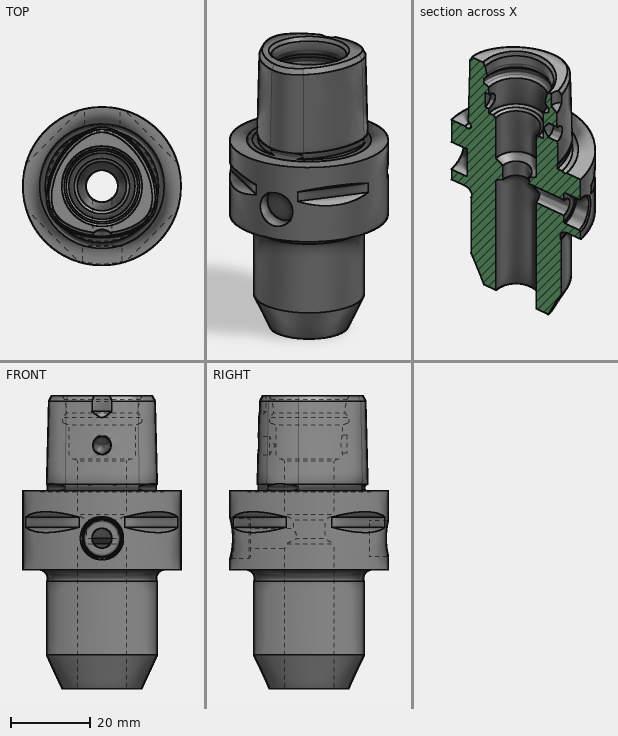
import cadquery as cq
import math


SHANK_TOP = 24.0
SHANK_RADIUS = 14.0
LOBE_HEIGHT = 0.9
TAPER_SLOPE = 1 / 40
RIM_CHAMFER_HEIGHT = 1.4
RIM_CHAMFER_WIDTH = 0.75
NECK_TOP = 1.6
NECK_RELIEF = 0.25
LOBES = 3
LOBE_AXIS_ANGLE = 90.0
FACES_PER_LOBE = 2
SPLINE_STEPS = 8

FLANGE_RADIUS = 20.0
FLANGE_BOTTOM = -20.0
FLANGE_FILLET = 2.0
RELIEF_RADIUS = 13.8
RELIEF_BOTTOM = -22.9
BODY_RADIUS = 14.0
NOSE_RADIUS = 10.0
NOSE_ANGLE = 25.0
BODY_BOTTOM = -50.0
NOSE_TOP = BODY_BOTTOM + (BODY_RADIUS - NOSE_RADIUS) / math.tan(math.radians(NOSE_ANGLE))

GROOVE_RING_RADIUS = 15.0
GROOVE_ROUND = 1.0
GROOVE_CENTER_Z = 0.7

MOUTH_RADIUS = 10.15
MOUTH_BOTTOM_RADIUS = 9.5
MOUTH_DEPTH = 1.0
LAND_RADIUS = 9.0
LAND_TOP_DEPTH = 3.2
LAND_BOTTOM_DEPTH = 4.3
CLAMP_GROOVE_RADIUS = 10.0
CLAMP_GROOVE_TOP_DEPTH = 5.5
CLAMP_GROOVE_FILLET_DEPTH = 6.4
CLAMP_GROOVE_FILLET = 0.6
SOCKET_RADIUS = 8.35
SOCKET_TOP_DEPTH = 7.4
SOCKET_FLOOR_Z = 8.0
THREAD_MAJOR_RADIUS = 7.0
THREAD_CORE_RADIUS = 12.38 / 2
THREAD_BOTTOM_Z = -6.0
CHANNEL_RADIUS = 4.0

TOOL_RADIUS = THREAD_CORE_RADIUS
TOOL_CONE_TOP_Z = -12.05

SIDE_HOLE_Z = -12.0
SCREW_RADIUS = 5.0
SCREW_CHAMFER = 0.45
SCREW_SEAT_Y = 15.2
SCREW_SEAT_CHAMFER = 0.35
SCREW_OUTLET_RADIUS = 2.5
CHIP_HOLE_RADIUS = 4.5
CHIP_HOLE_FLOOR_Y = 15.2

NOTCH_RADIUS = 2.8
NOTCH_Y = -13.7
NOTCH_BOTTOM_Z = 20.0
NOTCH_TIP = 2.5
DIMPLE_RADIUS = 2.3
DIMPLE_Z = 11.4
DIMPLE_FLOOR_Y = 10.0
POCKET_RADIUS = 2.3
POCKET_Z = 11.8
POCKET_FLOOR_Y = 9.5

SLOT_COUNT = 4
SLOT_FIRST_ANGLE = 45.0
SLOT_FLOOR_RADIUS = 17.6
SLOT_FLOOR_TOP = -6.7
SLOT_FLOOR_BOTTOM = -9.2
SLOT_WALL_ANGLE = 30.0

DRILL_POINT_ANGLE = 118.0
DRILL_SLOPE = 1 / math.tan(math.radians(DRILL_POINT_ANGLE / 2))
CLEARANCE = 1.0


def lobed_point(mean_radius, angle, z):
    """Point of the constant-width outline whose normal has the given angle, and its tangent."""
    local = LOBES * (angle - math.radians(LOBE_AXIS_ANGLE))
    reach = mean_radius + LOBE_HEIGHT * math.cos(local)
    slide = -LOBES * LOBE_HEIGHT * math.sin(local)
    normal = cq.Vector(math.cos(angle), math.sin(angle), 0)
    tangent = cq.Vector(-math.sin(angle), math.cos(angle), 0)
    return normal * reach + tangent * slide + cq.Vector(0, 0, z), tangent


def lobed_wire(mean_radius, z):
    """Closed outline made of one spline for each lobe and each flank."""
    face_count = LOBES * FACES_PER_LOBE
    span = 2 * math.pi / face_count
    start = math.radians(LOBE_AXIS_ANGLE) - span / 2
    edges = []
    for face in range(face_count):
        samples = [
            lobed_point(mean_radius, start + span * (face + step / SPLINE_STEPS), z)
            for step in range(SPLINE_STEPS + 1)
        ]
        points = [point for point, _ in samples]
        end_tangents = [samples[0][1], samples[-1][1]]
        edges.append(cq.Edge.makeSpline(points, tangents=end_tangents))
    return cq.Wire.assembleEdges(edges)


def lobed_frustum(bottom_radius, bottom_z, top_radius, top_z):
    wires = [lobed_wire(bottom_radius, bottom_z), lobed_wire(top_radius, top_z)]
    return cq.Workplane(obj=cq.Solid.makeLoft(wires, True))


def revolve_profile(profile):
    """Close a profile and turn it about its own vertical axis."""
    return profile.close().revolve(360, (0, 0, 0), (0, 1, 0))


def radial_tool(profile, z, angle):
    """Turn a (radius, distance from the holder axis) profile about a radial axis."""
    tool = revolve_profile(profile)
    return tool.rotate((0, 0, 0), (0, 0, 1), angle - 90).translate((0, 0, z))


def make_shank():
    def half_width(z):
        return SHANK_RADIUS - TAPER_SLOPE * z

    chamfer_z = SHANK_TOP - RIM_CHAMFER_HEIGHT
    neck_radius = SHANK_RADIUS - NECK_RELIEF
    neck = lobed_frustum(neck_radius, -CLEARANCE, neck_radius, NECK_TOP)
    cone = lobed_frustum(half_width(NECK_TOP), NECK_TOP, half_width(chamfer_z), chamfer_z)
    rim_radius = half_width(chamfer_z) - RIM_CHAMFER_WIDTH
    rim = lobed_frustum(half_width(chamfer_z), chamfer_z, rim_radius, SHANK_TOP)
    return neck.union(cone).union(rim)


def make_body():
    fillet_bottom = FLANGE_BOTTOM - FLANGE_FILLET
    fillet_mid = FLANGE_FILLET * (1 - math.sqrt(0.5))
    profile = (
        cq.Workplane("XZ")
        .lineTo(FLANGE_RADIUS, 0)
        .lineTo(FLANGE_RADIUS, FLANGE_BOTTOM)
        .lineTo(RELIEF_RADIUS + FLANGE_FILLET, FLANGE_BOTTOM)
        .threePointArc(
            (RELIEF_RADIUS + fillet_mid, FLANGE_BOTTOM - fillet_mid),
            (RELIEF_RADIUS, fillet_bottom),
        )
        .lineTo(RELIEF_RADIUS, RELIEF_BOTTOM)
        .lineTo(BODY_RADIUS, RELIEF_BOTTOM)
        .lineTo(BODY_RADIUS, NOSE_TOP)
        .lineTo(NOSE_RADIUS, BODY_BOTTOM)
        .lineTo(0, BODY_BOTTOM)
    )
    return revolve_profile(profile)


def ring_groove():
    section = cq.Workplane("XZ").center(GROOVE_RING_RADIUS, GROOVE_CENTER_Z).circle(GROOVE_ROUND)
    return section.revolve(360, (-GROOVE_RING_RADIUS, 0, 0), (-GROOVE_RING_RADIUS, 1, 0))


def top_bore():
    thread_top_z = SOCKET_FLOOR_Z - DRILL_SLOPE * (THREAD_MAJOR_RADIUS - THREAD_CORE_RADIUS)
    channel_top_z = THREAD_BOTTOM_Z - DRILL_SLOPE * (THREAD_CORE_RADIUS - CHANNEL_RADIUS)
    tool_cone_bottom_z = TOOL_CONE_TOP_Z - DRILL_SLOPE * (TOOL_RADIUS - CHANNEL_RADIUS)
    fillet_end_radius = CLAMP_GROOVE_RADIUS - CLAMP_GROOVE_FILLET
    fillet_end_depth = CLAMP_GROOVE_FILLET_DEPTH + CLAMP_GROOVE_FILLET
    fillet_mid = CLAMP_GROOVE_FILLET * math.sqrt(0.5)
    profile = (
        cq.Workplane("XZ")
        .moveTo(0, SHANK_TOP)
        .lineTo(MOUTH_RADIUS, SHANK_TOP)
        .lineTo(MOUTH_BOTTOM_RADIUS, SHANK_TOP - MOUTH_DEPTH)
        .lineTo(LAND_RADIUS, SHANK_TOP - LAND_TOP_DEPTH)
        .lineTo(LAND_RADIUS, SHANK_TOP - LAND_BOTTOM_DEPTH)
        .lineTo(CLAMP_GROOVE_RADIUS, SHANK_TOP - CLAMP_GROOVE_TOP_DEPTH)
        .lineTo(CLAMP_GROOVE_RADIUS, SHANK_TOP - CLAMP_GROOVE_FILLET_DEPTH)
        .threePointArc(
            (fillet_end_radius + fillet_mid, SHANK_TOP - CLAMP_GROOVE_FILLET_DEPTH - fillet_mid),
            (fillet_end_radius, SHANK_TOP - fillet_end_depth),
        )
        .lineTo(SOCKET_RADIUS, SHANK_TOP - SOCKET_TOP_DEPTH)
        .lineTo(SOCKET_RADIUS, SOCKET_FLOOR_Z)
        .lineTo(THREAD_MAJOR_RADIUS, SOCKET_FLOOR_Z)
        .lineTo(THREAD_CORE_RADIUS, thread_top_z)
        .lineTo(THREAD_CORE_RADIUS, THREAD_BOTTOM_Z)
        .lineTo(CHANNEL_RADIUS, channel_top_z)
        .lineTo(CHANNEL_RADIUS, TOOL_CONE_TOP_Z)
        .lineTo(TOOL_RADIUS, tool_cone_bottom_z)
        .lineTo(TOOL_RADIUS, BODY_BOTTOM)
        .lineTo(0, BODY_BOTTOM)
    )
    return revolve_profile(profile)


def screw_hole():
    """Blind hole on the -Y side with a small outlet into the axial bore."""
    seat_radius = SCREW_RADIUS - SCREW_SEAT_CHAMFER
    profile = (
        cq.Workplane("XY")
        .lineTo(SCREW_OUTLET_RADIUS, 0)
        .lineTo(SCREW_OUTLET_RADIUS, SCREW_SEAT_Y - SCREW_SEAT_CHAMFER)
        .lineTo(seat_radius, SCREW_SEAT_Y - SCREW_SEAT_CHAMFER)
        .lineTo(SCREW_RADIUS, SCREW_SEAT_Y)
        .lineTo(SCREW_RADIUS, FLANGE_RADIUS + CLEARANCE)
        .lineTo(0, FLANGE_RADIUS + CLEARANCE)
    )
    return radial_tool(profile, SIDE_HOLE_Z, -90)


def chamfer_screw_mouth(body):
    """Chamfer the curved edge where the screw hole meets the flange."""
    inner_y = math.sqrt(FLANGE_RADIUS**2 - SCREW_RADIUS**2) - CLEARANCE
    half_size = SCREW_RADIUS + CLEARANCE
    mouth = cq.selectors.BoxSelector(
        (-half_size, -FLANGE_RADIUS - CLEARANCE, SIDE_HOLE_Z - half_size),
        (half_size, -inner_y, SIDE_HOLE_Z + half_size),
        boundingbox=True,
    )
    return body.edges(mouth).chamfer(SCREW_CHAMFER)


def chip_hole():
    """Plain blind hole on the +Y side of the flange."""
    profile = (
        cq.Workplane("XY")
        .moveTo(0, CHIP_HOLE_FLOOR_Y)
        .lineTo(CHIP_HOLE_RADIUS, CHIP_HOLE_FLOOR_Y)
        .lineTo(CHIP_HOLE_RADIUS, FLANGE_RADIUS + CLEARANCE)
        .lineTo(0, FLANGE_RADIUS + CLEARANCE)
    )
    return radial_tool(profile, SIDE_HOLE_Z, 90)


def shank_dimple():
    """Drill-pointed dimple in the -Y flank."""
    tip = DRILL_SLOPE * DIMPLE_RADIUS
    profile = (
        cq.Workplane("XY")
        .moveTo(0, DIMPLE_FLOOR_Y - tip)
        .lineTo(DIMPLE_RADIUS, DIMPLE_FLOOR_Y)
        .lineTo(DIMPLE_RADIUS, SHANK_RADIUS + CLEARANCE)
        .lineTo(0, SHANK_RADIUS + CLEARANCE)
    )
    return radial_tool(profile, DIMPLE_Z, -90)


def socket_pocket():
    """Shallow round pocket in the +Y wall of the socket."""
    profile = cq.Workplane("XY").lineTo(POCKET_RADIUS, 0)
    profile = profile.lineTo(POCKET_RADIUS, POCKET_FLOOR_Y).lineTo(0, POCKET_FLOOR_Y)
    return radial_tool(profile, POCKET_Z, 90)


def rim_notch():
    """Drill-pointed axial notch in the rim, over the dimple."""
    profile = (
        cq.Workplane("XZ")
        .moveTo(0, NOTCH_BOTTOM_Z - NOTCH_TIP)
        .lineTo(NOTCH_RADIUS, NOTCH_BOTTOM_Z)
        .lineTo(NOTCH_RADIUS, SHANK_TOP + CLEARANCE)
        .lineTo(0, SHANK_TOP + CLEARANCE)
    )
    return revolve_profile(profile).translate((0, NOTCH_Y, 0))


def gripper_slot(angle):
    """Straight slot with a flat floor and flaring walls, cut as a chord into the flange."""
    outer = FLANGE_RADIUS + CLEARANCE
    flare = (outer - SLOT_FLOOR_RADIUS) * math.tan(math.radians(SLOT_WALL_ANGLE))
    section = cq.Workplane("XZ").polyline([
        (SLOT_FLOOR_RADIUS, SLOT_FLOOR_TOP),
        (outer, SLOT_FLOOR_TOP + flare),
        (outer, SLOT_FLOOR_BOTTOM - flare),
        (SLOT_FLOOR_RADIUS, SLOT_FLOOR_BOTTOM),
    ])
    slot = section.close().extrude(FLANGE_RADIUS, both=True)
    return slot.rotate((0, 0, 0), (0, 0, 1), angle)


holder = make_body().union(make_shank())
holder = holder.cut(ring_groove())
holder = holder.cut(top_bore())
holder = holder.cut(screw_hole())
holder = chamfer_screw_mouth(holder)
holder = holder.cut(chip_hole())
holder = holder.cut(shank_dimple())
holder = holder.cut(socket_pocket())
holder = holder.cut(rim_notch())
for index in range(SLOT_COUNT):
    holder = holder.cut(gripper_slot(SLOT_FIRST_ANGLE + index * 360 / SLOT_COUNT))

result = holder